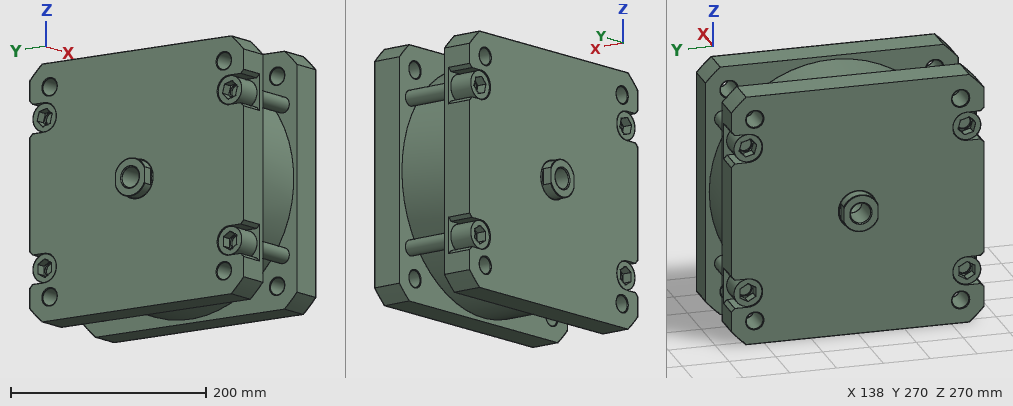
import cadquery as cq
import math


plate_side = 270.0
front_thickness = 33.5
rear_thickness = 33.0
corner_radius = 180.0
mount_offset = 110.0
mount_hole_radius = 9.0
mount_chamfer = 0.8

barrel_radius = 131.0
barrel_length = 60.0
barrel_end = front_thickness + barrel_length

bolt_y = 117.0
bolt_z = 78.8
shank_radius = 8.5
thread_depth = 21.5
head_radius = 14.8
head_recess = 1.0
slot_radius = 15.5
slot_depth = 27.8
slot_mouth_chamfer = 3.8
hex_corner_radius = 9.7
hex_depth = 10.8
relief_radius = 7.3
relief_depth = 2.7
upper_hex_turn = 15.0
lower_hex_turn = 30.0

rod_radius = 20.0
rod_projection = 11.5
rod_hole_chamfer = 0.8
flat_half_width = 18.0
flat_length = 10.3
rod_tip_chamfer = 0.5
bore_radius = 10.8
bore_chamfer = 1.0
bore_depth = 32.5
drill_point_angle = 120.0

SIGNS = (-1, 1)
BOLT_PLACES = [(sy * bolt_y, sz * bolt_z) for sy in SIGNS for sz in SIGNS]
MOUNT_PLACES = [(sy * mount_offset, sz * mount_offset) for sy in SIGNS for sz in SIGNS]


def section(x):
    """Work plane square to the X axis: local x is +Y, local y is +Z."""
    return cq.Workplane("YZ", origin=(x, 0, 0))


def rod_along_x(x, length, radius, places=((0, 0),)):
    return section(x).pushPoints(list(places)).circle(radius).extrude(length)


def countersinks(x, hole_radius, chamfer, places=((0, 0),)):
    """Cones that bevel the -X mouths of round holes."""
    wide = hole_radius + chamfer
    cone = cq.Solid.makeCone(wide, hole_radius, chamfer, cq.Vector(0, 0, 0), cq.Vector(1, 0, 0))
    cones = cq.Workplane("XY")
    for y, z in places:
        cones = cones.add(cone.moved(cq.Location(cq.Vector(x, y, z))))
    return cones.combine()


def blank_plate(x, thickness):
    """Square plate with arc-cut corners and four bevelled mounting holes."""
    plate = section(x).rect(plate_side, plate_side).extrude(thickness)
    plate = plate.intersect(rod_along_x(x, thickness, corner_radius))
    plate = plate.cut(rod_along_x(x, thickness, mount_hole_radius, MOUNT_PLACES))
    return plate.cut(countersinks(x, mount_hole_radius, mount_chamfer, MOUNT_PLACES))


def head_slot(y, z):
    """Round-ended slot, open to the plate side, with a flared mouth."""
    side = math.copysign(1, y)
    edge = side * plate_side / 2
    flare_start = edge - side * slot_mouth_chamfer
    mouth_half = slot_radius + slot_mouth_chamfer
    return (
        section(0)
        .moveTo(y, z + slot_radius)
        .lineTo(flare_start, z + slot_radius)
        .lineTo(edge, z + mouth_half)
        .lineTo(edge, z - mouth_half)
        .lineTo(flare_start, z - slot_radius)
        .lineTo(y, z - slot_radius)
        .threePointArc((y - side * slot_radius, z), (y, z + slot_radius))
        .close()
        .extrude(slot_depth)
    )


def make_front_plate():
    plate = blank_plate(0, front_thickness)
    for y, z in BOLT_PLACES:
        plate = plate.cut(head_slot(y, z))
    plate = plate.cut(rod_along_x(0, front_thickness, shank_radius, BOLT_PLACES))
    plate = plate.cut(rod_along_x(0, front_thickness, rod_radius))
    return plate.cut(countersinks(0, rod_radius, rod_hole_chamfer))


def make_rear_plate():
    plate = blank_plate(barrel_end, rear_thickness)
    return plate.cut(rod_along_x(barrel_end, thread_depth, shank_radius, BOLT_PLACES))


def make_barrel():
    return rod_along_x(front_thickness, barrel_length, barrel_radius)


def make_piston_rod():
    """Rod that ends at the barrel, with two wrench flats and a drilled bore at its tip."""
    tip = -rod_projection
    rod = rod_along_x(tip, rod_projection + front_thickness, rod_radius)
    rod = rod.faces("<X").chamfer(rod_tip_chamfer)
    flat_depth = rod_radius - flat_half_width
    for side in SIGNS:
        flat_centre = side * (flat_half_width + flat_depth / 2)
        flat = section(tip).center(flat_centre, 0).rect(flat_depth, 2 * rod_radius).extrude(flat_length)
        rod = rod.cut(flat)
    point_length = bore_radius / math.tan(math.radians(drill_point_angle / 2))
    bore = (
        cq.Workplane("XY")
        .moveTo(tip, 0)
        .lineTo(tip, bore_radius)
        .lineTo(tip + bore_depth, bore_radius)
        .lineTo(tip + bore_depth + point_length, 0)
        .close()
        .revolve(360, (0, 0, 0), (1, 0, 0))
    )
    return rod.cut(bore).cut(countersinks(tip, bore_radius, bore_chamfer))


def make_bolt(y, z):
    """Socket-head bolt from the slot floor through the front plate into the rear plate."""
    place = [(y, z)]
    head = rod_along_x(head_recess, slot_depth - head_recess, head_radius, place)
    shank = rod_along_x(slot_depth, barrel_end + thread_depth - slot_depth, shank_radius, place)
    turn = upper_hex_turn if z > 0 else lower_hex_turn
    socket = (
        section(head_recess)
        .polygon(6, 2 * hex_corner_radius)
        .extrude(hex_depth)
        .rotate((0, 0, 0), (1, 0, 0), -turn)
        .translate((0, y, z))
    )
    relief = rod_along_x(head_recess + hex_depth, relief_depth, relief_radius, place)
    return head.union(shank).cut(socket).cut(relief)


front_plate = make_front_plate()
rear_plate = make_rear_plate()
barrel = make_barrel()
piston_rod = make_piston_rod()
bolts = [make_bolt(y, z) for y, z in BOLT_PLACES]

bodies = [front_plate, rear_plate, barrel, piston_rod, *bolts]
result = cq.Compound.makeCompound([body.solids().val() for body in bodies])